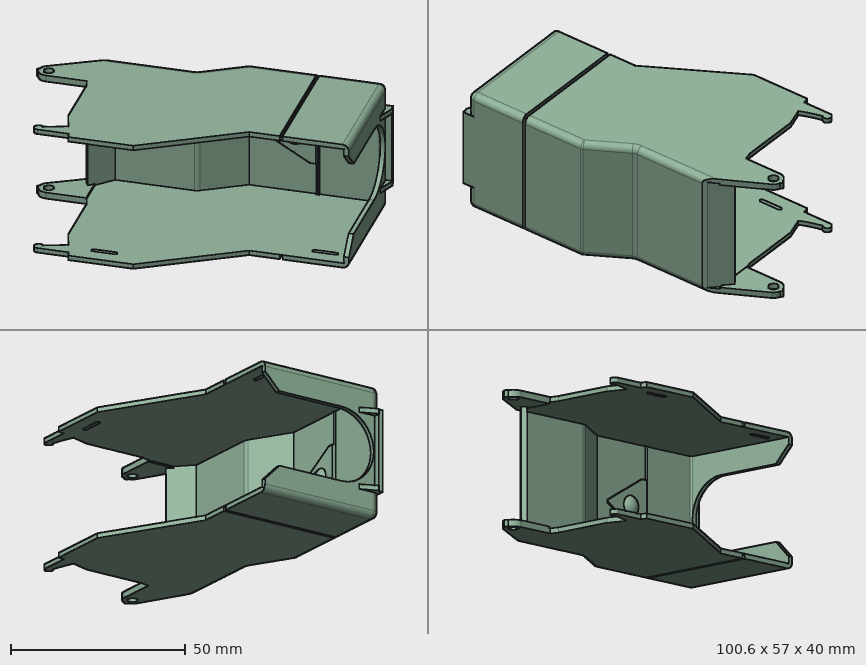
import math

import cadquery as cq


height = 40.0
mid_z = height / 2
back_y = 57.0
end_x = 98.5
wall = 1.5
edge_radius = 2.0
inner_corner_radius = edge_radius - wall
bend_angle = math.radians(30)

low_back_y = 49.3
rise_end_x = 57.5
rise_start_x = rise_end_x - (back_y - low_back_y) / math.tan(bend_angle)
low_back_start_x = 19.9
inner_bend_radius = 3.0
outer_bend_radius = 1.5
outline_margin = 10.0

front_start_x = 39.2
front_step_y = 17.1
front_step_x = front_start_x + front_step_y / math.tan(bend_angle)

lug_x, lug_y = 3.5, 37.1
lug_radius = 3.0
lug_hole_diameter = 3.0
lug_thickness = 2.0
lug_step_x = 15.5
lug_step_y = 30.0
nub_radius = 0.7

lug_corner_x = 15.7
left_x = 16.3
left_top_y = 31.5
left_bottom_y = 12.4
hook_root_x, hook_root_y = 18.1, 6.4

hook_tip_x, hook_tip_y = 10.1, 3.3
hook_tip_radius = 1.35
hook_neck_x, hook_neck_y = 10.9, 4.1
hook_sag = 0.2
hook_base_y = hook_tip_y - hook_tip_radius
hook_base_x = 19.4
front_corner_x = 19.8

flap_tip_outer = (13.0, 43.0)
flap_tip_inner = (13.9, 41.5)

opening_radius = 11.4
opening_apex_y = back_y - wall - inner_corner_radius
opening_center_y = opening_apex_y - opening_radius
tab_chamfer = 5.0

hinge_x = 77.9
hinge_width = 0.9
hinge_web = 0.35
hinge_overcut = 0.2
hinge_depth_y = wall + hinge_overcut

pad_tip_x = 62.0
pad_tip_half_height = 0.4
pad_shoulder_x = 76.1
pad_half_height = pad_tip_half_height + (pad_shoulder_x - pad_tip_x) * math.tan(bend_angle)
pad_height = 0.5
dome_x = 71.5
dome_radius = 3.05
dome_height = 1.5

catch_half_length = 12.5
catch_rib_width = 1.5
catch_rib_x = 100.6
catch_bar_x = 100.3
catch_nose_y = 55.4
catch_top_inset = 0.3
catch_bottom_y = 50.0

ridge_places = [(29.2, 5.0), (90.1, 22.0)]
ridge_length = 8.0
ridge_radius = 0.75
ridge_height = 0.3


def box(x0, x1, y0, y1, z0, z1):
    """Box between opposite corners."""
    return cq.Workplane("XY").box(x1 - x0, y1 - y0, z1 - z0, centered=False).translate((x0, y0, z0))


def make_rounded_block():
    """Full-height block with the rounded back and end edges, extended past the left and front."""
    left = -outline_margin
    front = -outline_margin
    block = (
        cq.Workplane("XY")
        .polyline([
            (left, front), (end_x, front), (end_x, back_y), (rise_end_x, back_y),
            (rise_start_x, low_back_y), (left, low_back_y),
        ])
        .close()
        .extrude(height)
    )
    upright_edges = [
        (end_x, back_y, edge_radius),
        (rise_end_x, back_y, outer_bend_radius),
        (rise_start_x, low_back_y, inner_bend_radius),
    ]
    for x, y, radius in upright_edges:
        block = block.edges(cq.selectors.NearestToPointSelector((x, y, mid_z))).fillet(radius)
    for z in (0, height):
        block = block.edges(cq.selectors.NearestToPointSelector((0, low_back_y, z))).fillet(edge_radius)
    return block


def make_outline():
    """Plate outline, squared off behind the rise, with pivot lug and hook, extruded to the full height."""
    run = low_back_start_x - lug_x
    rise = low_back_y - lug_y
    to_corner = math.atan2(rise, run)
    tangent_angle = to_corner + math.acos(lug_radius / math.hypot(run, rise))
    tangent = (lug_x + lug_radius * math.cos(tangent_angle), lug_y + lug_radius * math.sin(tangent_angle))
    hook_mid = ((hook_root_x + hook_neck_x) / 2, (hook_root_y + hook_neck_y) / 2 - hook_sag)
    outline = (
        cq.Workplane("XY")
        .moveTo(*tangent)
        .threePointArc((lug_x - lug_radius, lug_y), (lug_x, lug_y - lug_radius))
        .lineTo(lug_corner_x, lug_y - lug_radius)
        .lineTo(left_x, left_top_y)
        .lineTo(left_x, left_bottom_y)
        .lineTo(hook_root_x, hook_root_y)
        .threePointArc(hook_mid, (hook_neck_x, hook_neck_y))
        .lineTo(hook_tip_x, hook_base_y)
        .lineTo(hook_base_x, hook_base_y)
        .lineTo(front_corner_x, 0)
        .lineTo(front_start_x, 0)
        .lineTo(front_step_x, front_step_y)
        .lineTo(end_x, front_step_y)
        .lineTo(end_x, back_y)
        .lineTo(low_back_start_x, back_y)
        .lineTo(low_back_start_x, low_back_y)
        .close()
        .extrude(height)
    )
    hook_tip = cq.Workplane("XY").center(hook_tip_x, hook_tip_y).circle(hook_tip_radius).extrude(height)
    nub = cq.Workplane("XY").center(nub_radius, lug_y).circle(nub_radius).extrude(height)
    hole = cq.Workplane("XY").center(lug_x, lug_y).circle(lug_hole_diameter / 2).extrude(height)
    return outline.union(hook_tip).union(nub).cut(hole)


def make_cavity():
    """Space between the plates, bounded by the inner faces of the back wall and the end tabs."""
    inner_shift = wall * math.tan(bend_angle / 2)
    inner_low_y = low_back_y - wall
    inner_back_y = back_y - wall
    inner_corner_x = flap_tip_inner[0] + inner_low_y - flap_tip_inner[1]
    outer_corner_x = flap_tip_outer[0] + back_y - flap_tip_outer[1]
    left = -outline_margin
    front = -outline_margin
    inside = (
        cq.Workplane("XY")
        .polyline([
            (left, front), (end_x - wall, front), (end_x - wall, inner_back_y),
            (rise_end_x + inner_shift, inner_back_y), (rise_start_x + inner_shift, inner_low_y),
            (inner_corner_x, inner_low_y), flap_tip_inner, flap_tip_outer,
            (outer_corner_x, back_y), (left, back_y),
        ])
        .close()
        .extrude(height - 2 * wall)
        .translate((0, 0, wall))
    )
    corner = cq.selectors.NearestToPointSelector((end_x - wall, inner_back_y, mid_z))
    inside = inside.edges(corner).fillet(inner_corner_radius)
    bend = cq.selectors.NearestToPointSelector((rise_start_x + inner_shift, inner_low_y, mid_z))
    inside = inside.edges(bend).fillet(inner_bend_radius)
    for z in (wall, height - lug_thickness):
        lug_pad = box(left, lug_step_x, lug_step_y, back_y, z, z + lug_thickness - wall)
        inside = inside.cut(lug_pad)
    return inside


def make_end_opening():
    """U-shaped opening through the end wall that leaves one chamfered tab on each plate."""
    low_z = mid_z - opening_radius
    high_z = mid_z + opening_radius
    return (
        cq.Workplane("YZ", origin=(end_x - wall, 0, 0))
        .moveTo(front_step_y, low_z - tab_chamfer)
        .lineTo(front_step_y + tab_chamfer, low_z)
        .lineTo(opening_center_y, low_z)
        .threePointArc((opening_apex_y, mid_z), (opening_center_y, high_z))
        .lineTo(front_step_y + tab_chamfer, high_z)
        .lineTo(front_step_y, high_z + tab_chamfer)
        .close()
        .extrude(wall)
    )


def cut_hinge(body):
    """Slit the back wall and groove both plates, leaving a thin web at their inner faces."""
    hinge_end = hinge_x + hinge_width
    body = body.cut(box(hinge_x, hinge_end, back_y - hinge_depth_y, back_y, 0, height))
    groove_depth = wall - hinge_web
    for z in (0, height - groove_depth):
        body = body.cut(box(hinge_x, hinge_end, 0, back_y, z, z + groove_depth))
    return body


def make_pad():
    """Triangular pad with a dome, raised from the inner face of the back wall."""
    face_y = back_y - wall
    pad = (
        cq.Workplane("XZ", origin=(0, face_y, mid_z))
        .polyline([
            (pad_tip_x, pad_tip_half_height), (pad_shoulder_x, pad_half_height), (hinge_x, pad_half_height),
            (hinge_x, -pad_half_height), (pad_shoulder_x, -pad_half_height),
            (pad_tip_x, -pad_tip_half_height),
        ])
        .close()
        .extrude(pad_height)
    )
    pad_face_y = face_y - pad_height
    sphere_radius = (dome_radius**2 + dome_height**2) / (2 * dome_height)
    half_angle = math.asin(dome_radius / sphere_radius) / 2
    arc_middle = (
        sphere_radius * math.sin(half_angle),
        sphere_radius - dome_height - sphere_radius * math.cos(half_angle),
    )
    dome = (
        cq.Workplane("XY", origin=(dome_x, pad_face_y, mid_z))
        .lineTo(dome_radius, 0)
        .threePointArc(arc_middle, (0, -dome_height))
        .close()
        .revolve(360, (0, 0), (0, 1))
    )
    return pad.union(dome)


def make_catch():
    """Two wedge-shaped ribs on the end face, joined by a flat bar along the back."""
    root_x = end_x - wall / 2
    rib_top_x = catch_rib_x - catch_top_inset
    ribs = (
        cq.Workplane("XY", origin=(0, 0, mid_z))
        .polyline([
            (end_x, catch_bottom_y), (catch_rib_x, catch_nose_y), (rib_top_x, catch_nose_y + catch_top_inset),
            (rib_top_x, back_y), (end_x - edge_radius, back_y), (root_x, opening_apex_y),
            (root_x, catch_bottom_y),
        ])
        .close()
        .extrude(catch_half_length, both=True)
    )
    bar_half = catch_half_length - catch_rib_width
    low_z = mid_z - bar_half
    high_z = mid_z + bar_half
    ribs = ribs.cut(box(root_x, catch_rib_x, 0, back_y, low_z, high_z))
    return ribs.union(box(root_x, catch_bar_x, back_y - wall, back_y, low_z, high_z))


def make_ridge(x, y, z):
    """Round-ended rod lying along X, sunk into a plate."""
    half = ridge_length / 2 - ridge_radius
    rod = cq.Workplane("YZ", origin=(x, y, z)).circle(ridge_radius).extrude(half, both=True)
    for end in (x - half, x + half):
        rod = rod.union(cq.Workplane("XY").sphere(ridge_radius).translate((end, y, z)))
    return rod


body = make_rounded_block().intersect(make_outline())
body = body.cut(make_cavity()).union(make_catch()).cut(make_end_opening())
body = cut_hinge(body).union(make_pad())
ridge_z = wall + ridge_height - ridge_radius
for ridge_x, ridge_y in ridge_places:
    for z in (ridge_z, height - ridge_z):
        body = body.union(make_ridge(ridge_x, ridge_y, z))

result = body